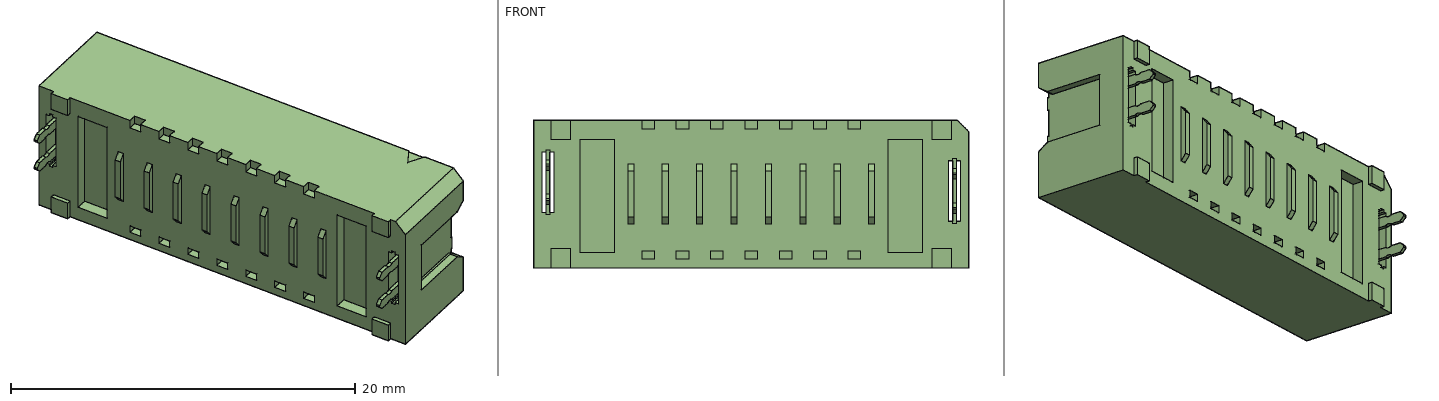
import cadquery as cq

LENGTH = 25.3
DEPTH = 6.25
HEIGHT = 8.6
CORNER_CHAMFER = 0.68
MID_X = LENGTH / 2

PITCH = 2.0
CONTACT_COUNT = 8
CONTACT_WIDTH = 0.35
CONTACT_HEIGHT = 3.47
CONTACT_PROTRUSION = 0.33
CONTACT_BEVEL = 0.4
CONTACT_MID_Z = HEIGHT / 2
POCKET_WIDTH = 0.73
POCKET_DEPTH = 0.5
TOP_POCKET_HEIGHT = 0.53
LOW_POCKET_HEIGHT = 0.45
LOW_POCKET_Z = 0.53

PAD_WIDTH = 1.15
PAD_HEIGHT = 1.15
PAD_THICKNESS = 0.25
PAD_INSET = 1.0

WINDOW_INSET = 2.7
WINDOW_WIDTH = 2.0
WINDOW_HEIGHT = 6.55
WINDOW_Z = 0.9
WINDOW_DEPTH = 0.7

MARK_X = 22.09
MARK_WIDTH = 1.11
MARK_LENGTH = 0.99
MARK_DEPTH = 0.08

CLIP_THICKNESS = 0.23
CLIP_HEIGHT = 3.77
CLIP_INSET = 0.83
LEFT_CLIP_Z = 4.98
RIGHT_CLIP_Z = 4.48
PLATE_FRONT_Y = 0.65
PLATE_BACK_Y = DEPTH - 0.18
TIP_BACK_Y = DEPTH - 0.1
TIP_WIDTH = 0.8
TIP_OFFSET = 1.25
PIN_OFFSET = PITCH / 2
PIN_WIDTH = 0.6
PIN_END_Y = -1.65
PIN_CHAMFER = 0.25
NECK_START_Y = -0.33
NECK_END_Y = -0.73
NECK_DEPTH = 0.08

SLOT_WIDTH = 0.68
SLOT_HEIGHT = 3.5
RECESS_DEPTH = CLIP_INSET + SLOT_WIDTH / 2
RECESS_HEIGHT = 3.25
RECESS_FRONT_Y = 1.75
FLARE_HEIGHT = 4.1
FLARE_LENGTH = 0.65


def box(x, y, z, dx, dy, dz):
    """Box from its low corner and its three sizes."""
    return cq.Workplane("XY").box(dx, dy, dz, centered=False).translate((x, y, z))


def mirrored_in_x(shape):
    """The same shape at the other end of the housing."""
    return shape.mirror("YZ", (MID_X, 0, 0))


def make_block():
    """Plain block with one chamfered top corner."""
    block = box(0, 0, 0, LENGTH, DEPTH, HEIGHT)
    return block.edges(">X and >Z").chamfer(CORNER_CHAMFER)


def make_pads():
    """Four standoff pads, two at each end."""
    pads = cq.Workplane("XY")
    for x in (PAD_INSET, LENGTH - PAD_INSET - PAD_WIDTH):
        for z in (0, HEIGHT - PAD_HEIGHT):
            pads = pads.union(box(x, -PAD_THICKNESS, z, PAD_WIDTH, PAD_THICKNESS, PAD_HEIGHT))
    return pads


def row_positions(count):
    """X places of a row at the contact pitch, centred on the housing."""
    return [MID_X + PITCH * (i - (count - 1) / 2) for i in range(count)]


def make_contact_ribs():
    """Row of ribs with bevelled ends on the mounting face."""
    half = CONTACT_HEIGHT / 2
    flat = half - CONTACT_BEVEL
    outline = [(0, -half), (-CONTACT_PROTRUSION, -flat), (-CONTACT_PROTRUSION, flat), (0, half)]
    rib = cq.Workplane("YZ").polyline(outline).close().extrude(CONTACT_WIDTH / 2, both=True)
    ribs = cq.Workplane("XY")
    for x in row_positions(CONTACT_COUNT):
        ribs = ribs.union(rib.translate((x, 0, CONTACT_MID_Z)))
    return ribs


def make_small_pockets():
    """Pockets between the contacts: one row open at the top, one row near the bottom."""
    top_z = HEIGHT - TOP_POCKET_HEIGHT
    pockets = cq.Workplane("XY")
    for mid_x in row_positions(CONTACT_COUNT - 1):
        x = mid_x - POCKET_WIDTH / 2
        pockets = pockets.union(box(x, 0, top_z, POCKET_WIDTH, POCKET_DEPTH, TOP_POCKET_HEIGHT))
        pockets = pockets.union(box(x, 0, LOW_POCKET_Z, POCKET_WIDTH, POCKET_DEPTH, LOW_POCKET_HEIGHT))
    return pockets


def make_windows():
    """Two tall blind windows."""
    window = box(WINDOW_INSET, 0, WINDOW_Z, WINDOW_WIDTH, WINDOW_DEPTH, WINDOW_HEIGHT)
    return window.union(mirrored_in_x(window))


def make_mark():
    """Shallow triangle at the rear edge of the top face."""
    half = MARK_WIDTH / 2
    outline = [(MARK_X - half, DEPTH), (MARK_X + half, DEPTH), (MARK_X, DEPTH - MARK_LENGTH)]
    plane = cq.Workplane("XY", origin=(0, 0, HEIGHT))
    return plane.polyline(outline).close().extrude(-MARK_DEPTH)


def make_clip_opening(mid_z):
    """Clip slot through the -X end, with grooves for the plate edges and the flared end recess."""
    slot = box(CLIP_INSET - SLOT_WIDTH / 2, 0, mid_z - SLOT_HEIGHT / 2, SLOT_WIDTH, DEPTH, SLOT_HEIGHT)
    groove = box(
        CLIP_INSET - CLIP_THICKNESS / 2, 0, mid_z - CLIP_HEIGHT / 2, CLIP_THICKNESS, DEPTH, CLIP_HEIGHT
    )
    half = RECESS_HEIGHT / 2
    flare_half = FLARE_HEIGHT / 2
    flare_y = DEPTH - FLARE_LENGTH
    outline = [
        (RECESS_FRONT_Y, -half),
        (flare_y, -half),
        (DEPTH, -flare_half),
        (DEPTH, flare_half),
        (flare_y, half),
        (RECESS_FRONT_Y, half),
    ]
    recess = cq.Workplane("YZ").polyline(outline).close().extrude(RECESS_DEPTH)
    return slot.union(groove).union(recess.translate((0, 0, mid_z)))


def make_pin():
    """Board pin about z = 0: waisted by two arcs, with a chamfered end."""
    half = PIN_WIDTH / 2
    neck_y = (NECK_START_Y + NECK_END_Y) / 2
    neck_half = half - NECK_DEPTH
    tip_y = PIN_END_Y + PIN_CHAMFER
    tip_half = half - PIN_CHAMFER
    outline = (
        cq.Workplane("YZ")
        .moveTo(PLATE_FRONT_Y, half)
        .lineTo(NECK_START_Y, half)
        .threePointArc((neck_y, neck_half), (NECK_END_Y, half))
        .lineTo(tip_y, half)
        .lineTo(PIN_END_Y, tip_half)
        .lineTo(PIN_END_Y, -tip_half)
        .lineTo(tip_y, -half)
        .lineTo(NECK_END_Y, -half)
        .threePointArc((neck_y, -neck_half), (NECK_START_Y, -half))
        .lineTo(PLATE_FRONT_Y, -half)
        .close()
    )
    return outline.extrude(CLIP_THICKNESS / 2, both=True)


def make_clip(mid_x, mid_z):
    """Flat clip with two pins in front and two low tips behind."""
    left = -CLIP_THICKNESS / 2
    plate_length = PLATE_BACK_Y - PLATE_FRONT_Y
    clip = box(left, PLATE_FRONT_Y, -CLIP_HEIGHT / 2, CLIP_THICKNESS, plate_length, CLIP_HEIGHT)
    for side in (-1, 1):
        tip_z = side * TIP_OFFSET - TIP_WIDTH / 2
        tip = box(left, PLATE_BACK_Y, tip_z, CLIP_THICKNESS, TIP_BACK_Y - PLATE_BACK_Y, TIP_WIDTH)
        clip = clip.union(tip).union(make_pin().translate((0, 0, side * PIN_OFFSET)))
    return clip.translate((mid_x, 0, mid_z))


def make_housing():
    """Block with its contacts and, at the +X end, the clip that is one piece with it."""
    housing = make_block().union(make_pads()).union(make_contact_ribs())
    housing = housing.cut(make_small_pockets()).cut(make_windows()).cut(make_mark())
    housing = housing.cut(make_clip_opening(LEFT_CLIP_Z))
    housing = housing.cut(mirrored_in_x(make_clip_opening(RIGHT_CLIP_Z)))
    return housing.union(make_clip(LENGTH - CLIP_INSET, RIGHT_CLIP_Z))


housing = make_housing()
clip = make_clip(CLIP_INSET, LEFT_CLIP_Z)

result = cq.Compound.makeCompound([housing.val(), clip.val()])